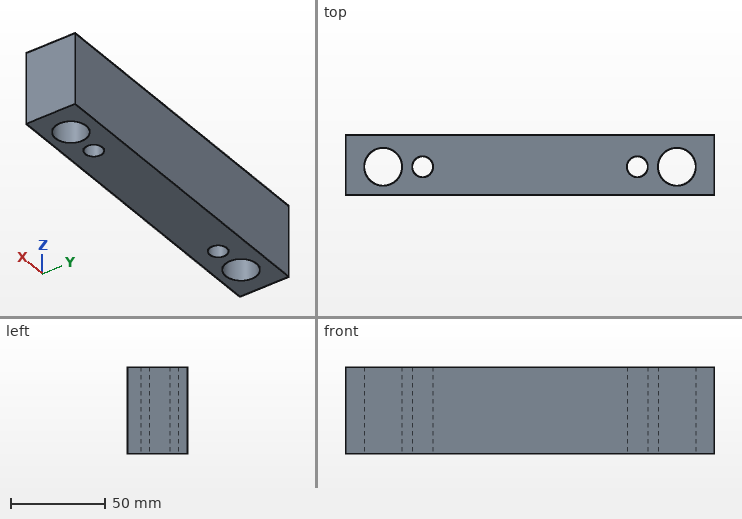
import cadquery as cq

length = 196.0
width = 32.0
height = 46.0

large_diameter = 20.0
large_spacing = 156.0
small_diameter = 11.0
small_spacing = 114.0
hole_line_y = -1.0


def drill_pair(body, diameter, spacing):
    """Drill two through holes, spaced along X on the shared hole line."""
    centres = [(side * spacing / 2, hole_line_y) for side in (-1, 1)]
    return body.faces(">Z").workplane(origin=(0, 0, height)).pushPoints(centres).hole(diameter)


block = cq.Workplane("XY").box(length, width, height, centered=(True, True, False))
block = drill_pair(block, large_diameter, large_spacing)
result = drill_pair(block, small_diameter, small_spacing)